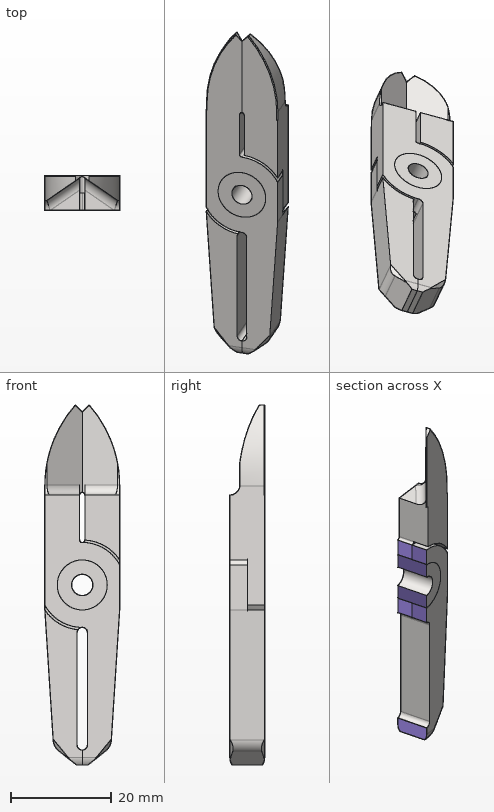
import cadquery as cq
import math

width = 15.0
thickness = 7.0
height = 72.0
half_width = width / 2
half_thickness = thickness / 2
top_z = height / 2
bottom_z = -height / 2
margin = 1.0

jaw_arc_radius = 24.5
jaw_arc_start_z = 19.8
ledge_z = 18.0
cove_radius = 2.0
cutting_edge_y = 3.35
shoulder_x = 7.05
shoulder_y = -1.5
back_chamfer = 0.2

lap_disc_radius = 8.5
lap_gap = 0.5
pin_diameter = 10.0
pin_bore_diameter = 4.2

upper_slot_width = 1.0
upper_slot_top_z = 18.5
lower_slot_width = 2.0
lower_slot_bottom_z = -33.0

taper_start_z = -5.0
handle_corner = (5.75, -32.35)
handle_corner_radius = 3.0
foot_half_width = 1.15
foot_edge_height = 1.5
foot_edge_radius = 2.5
corner_cut_start = (5.85, -30.8)
corner_cut_end = (3.0, -34.25)
corner_cut_slope = 1.0


def along_y(y_start, y_end):
    """XZ workplane at y_start and the distance that extrudes it to y_end."""
    plane = cq.Workplane("XZ", origin=(0, y_start, 0))
    return plane, -(y_end - y_start)


def through_plate():
    return along_y(-half_thickness - margin, half_thickness + margin)


def cylinder(radius, y_start, y_end):
    plane, distance = along_y(y_start, y_end)
    return plane.circle(radius).extrude(distance)


def box(x_range, y_range, z_range):
    corner = (x_range[0], y_range[0], z_range[0])
    size = [high - low for low, high in (x_range, y_range, z_range)]
    return cq.Workplane("XY").box(*size, centered=False).translate(corner)


def mirrored_pair(shape):
    return shape.union(shape.mirror("YZ"))


def nearest_to(*points):
    """Selector for the edge lying nearest to each of the points."""
    selectors = [cq.selectors.NearestToPointSelector(point) for point in points]
    selector = selectors[0]
    for other in selectors[1:]:
        selector = selector + other
    return selector


def jaw_half_width(z):
    """Half width of the jaws where the arc tangent to the side reaches height z."""
    rise = z - jaw_arc_start_z
    return half_width - jaw_arc_radius + math.sqrt(jaw_arc_radius**2 - rise**2)


def jaw_outline():
    """Right half of the jaws: an arc outside and a 45 degree notch inside meet at a sharp tip."""
    tip_x = jaw_half_width(top_z)
    middle_z = (jaw_arc_start_z + top_z) / 2
    plane, distance = along_y(-half_thickness, half_thickness)
    return (
        plane.moveTo(0, 0)
        .lineTo(half_width, 0)
        .lineTo(half_width, jaw_arc_start_z)
        .threePointArc((jaw_half_width(middle_z), middle_z), (tip_x, top_z))
        .lineTo(0, top_z - tip_x)
        .close()
        .extrude(distance)
    )


def back_edge_chamfer(jaw):
    """Break the outer back edge of the blade, from the ledge to the tip."""
    below = jaw.intersect(box((0, width), (-thickness, thickness), (0, ledge_z)))
    blade = jaw.intersect(box((0, width), (-thickness, thickness), (ledge_z, height)))
    middle_z = (jaw_arc_start_z + top_z) / 2
    on_arc = (jaw_half_width(middle_z), half_thickness, middle_z)
    on_side = (half_width, half_thickness, (ledge_z + jaw_arc_start_z) / 2)
    return below.union(blade.edges(nearest_to(on_arc, on_side)).chamfer(back_chamfer))


def bevel_cutter():
    """Metal removed in front of the right blade, with the cove along the ledge."""
    front_y = -half_thickness - margin
    outer_x = half_width + margin
    cutter = (
        cq.Workplane("XY", origin=(0, 0, ledge_z))
        .polyline([
            (0, cutting_edge_y),
            (shoulder_x, shoulder_y),
            (outer_x, shoulder_y),
            (outer_x, front_y),
            (0, front_y),
        ])
        .close()
        .extrude(top_z - ledge_z + margin)
    )
    on_bevel = (shoulder_x / 2, (cutting_edge_y + shoulder_y) / 2, ledge_z)
    on_shoulder = ((shoulder_x + outer_x) / 2, shoulder_y, ledge_z)
    channel = cutter.intersect(box((0, upper_slot_width / 2), (-thickness, thickness), (0, height)))
    return cutter.edges(nearest_to(on_bevel, on_shoulder)).fillet(cove_radius).union(channel)


def corner_cutter(face_side):
    """Sloping cut across the lower outer corner, on the front (-1) or back (+1) face."""
    (start_x, start_z), (end_x, end_z) = corner_cut_start, corner_cut_end
    run = cq.Vector(end_x - start_x, 0, end_z - start_z)
    outward = cq.Vector(-run.z, 0, run.x)
    section_plane = cq.Plane(
        origin=(start_x - run.x, face_side * half_thickness, start_z - run.z),
        xDir=outward,
        normal=run,
    )
    into_face = -face_side * section_plane.yDir.y
    reach = 3 * margin
    cut_length = 3 * run.Length
    return (
        cq.Workplane(section_plane)
        .polyline([
            (0, 0),
            (reach, into_face * corner_cut_slope * reach),
            (reach, -into_face * margin),
            (0, -into_face * margin),
        ])
        .close()
        .extrude(cut_length)
    )


def handle_half():
    """Right handle: tapered side, rounded corner and rounded foot."""
    plane, distance = along_y(-half_thickness, half_thickness)
    handle = (
        plane.polyline([
            (0, 0),
            (half_width, 0),
            (half_width, taper_start_z),
            handle_corner,
            (foot_half_width, bottom_z),
            (0, bottom_z),
        ])
        .close()
        .extrude(distance)
    )
    corner = (handle_corner[0], 0, handle_corner[1])
    handle = handle.edges(nearest_to(corner)).fillet(handle_corner_radius)
    rounding_low_z = bottom_z + foot_edge_height - foot_edge_radius
    foot_profile = (
        box((0, half_width), (-half_thickness, half_thickness), (rounding_low_z, 0))
        .edges("|X and <Z")
        .fillet(foot_edge_radius)
    )
    handle = handle.intersect(foot_profile)
    for face_side in (-1, 1):
        handle = handle.cut(corner_cutter(face_side))
    return handle


def slot(slot_width, low_z, high_z):
    plane, distance = through_plate()
    middle_z = (low_z + high_z) / 2
    return plane.center(0, middle_z).slot2D(high_z - low_z, slot_width, 90).extrude(distance)


def closed_pliers():
    """The shape both levers fill together, without the pin."""
    jaw = back_edge_chamfer(jaw_outline()).cut(bevel_cutter())
    return (
        mirrored_pair(jaw)
        .union(mirrored_pair(handle_half()))
        .cut(slot(upper_slot_width, lap_disc_radius, upper_slot_top_z))
        .cut(slot(lower_slot_width, lower_slot_bottom_z, -lap_disc_radius))
        .cut(cylinder(pin_diameter / 2, -thickness, thickness))
    )


def lever_space():
    """Space of the front lever: upper left, lower right, and the front half of the lap."""
    upper_left = box((-width, 0), (-thickness, thickness), (0, height))
    lower_right = box((0, width), (-thickness, thickness), (-height, 0))
    front_disc = cylinder(lap_disc_radius, -thickness, 0)
    back_recess = cylinder(lap_disc_radius + lap_gap, 0, thickness)
    return upper_left.union(lower_right).cut(back_recess).union(front_disc)


def pivot_pin():
    bore = cylinder(pin_bore_diameter / 2, -thickness, thickness)
    return cylinder(pin_diameter / 2, -half_thickness, half_thickness).cut(bore)


pliers = closed_pliers()
front_space = lever_space()
back_space = front_space.rotate((0, 0, 0), (0, 0, 1), 180)
front_lever = pliers.intersect(front_space)
back_lever = pliers.intersect(back_space)
pin = pivot_pin()

result = cq.Compound.makeCompound([*front_lever.vals(), *back_lever.vals(), pin.val()])